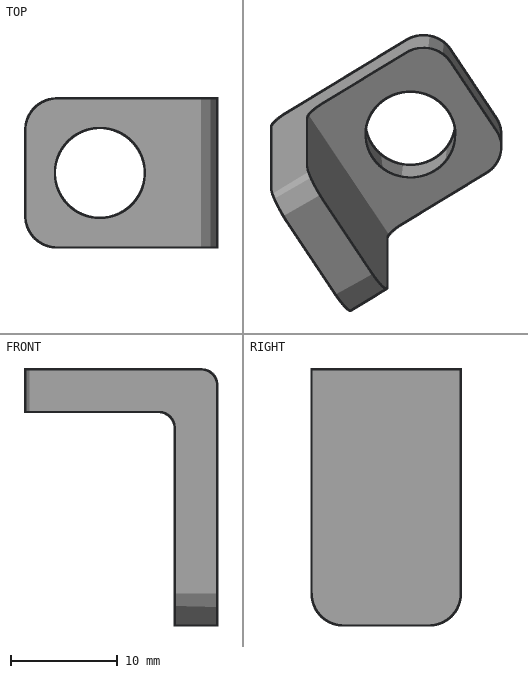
import cadquery as cq

length = 18.0
width = 14.0
height = 24.0
thickness = 4.0

bend_radius = 1.5
corner_radius = 3.0
hole_diameter = 8.4
hole_from_free_end = width / 2


def angle_profile():
    """Solid L section: a horizontal plate on top, a vertical leg at +X."""
    profile = (
        cq.Workplane("XZ")
        .moveTo(0, height)
        .lineTo(length, height)
        .lineTo(length, 0)
        .lineTo(length - thickness, 0)
        .lineTo(length - thickness, height - thickness)
        .lineTo(0, height - thickness)
        .close()
    )
    return profile.extrude(width / 2, both=True)


bracket = angle_profile()

bracket = bracket.edges("|Y and >X and >Z").fillet(bend_radius)
inner_bend = cq.selectors.NearestToPointSelector((length - thickness, 0, height - thickness))
bracket = bracket.edges("|Y").edges(inner_bend).fillet(bend_radius)

bracket = bracket.edges("|Z and <X").fillet(corner_radius)
bracket = bracket.edges("|X and <Z").fillet(corner_radius)

hole = (
    cq.Workplane("XY", origin=(hole_from_free_end, 0, height - thickness))
    .circle(hole_diameter / 2)
    .extrude(thickness)
)

result = bracket.cut(hole)